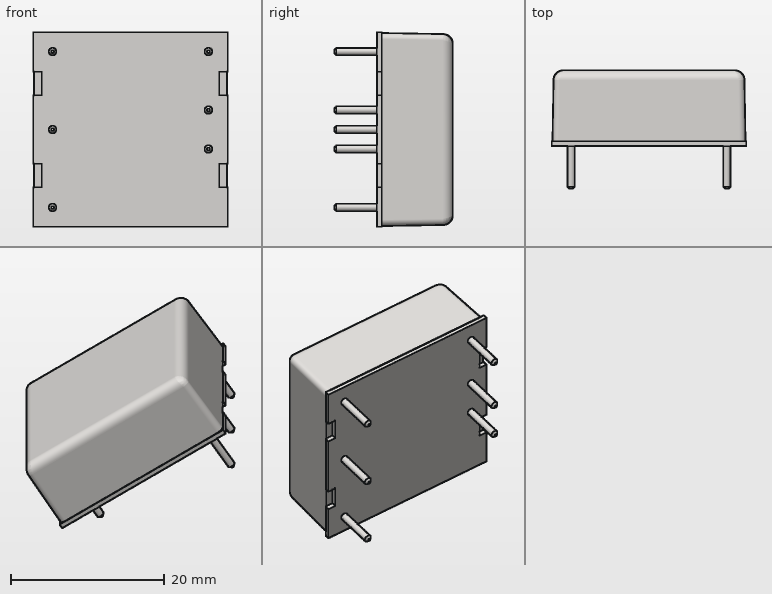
import cadquery as cq

plate_side = 25.4
plate_thickness = 0.64

notch_depth = 1.12
notch_height = 3.1
notch_offset = 6.0

cover_inset = 0.1
cover_draft = 1.0
cover_depth = 9.27
cover_corner_radius = 0.81
cover_edge_radius = 1.32

pitch = 2.55
pin_diameter = 1.0
pin_length = 5.6
pin_tip_chamfer = 0.3
pin_column = 4 * pitch
left_pin_rows = [4 * pitch, 0, -4 * pitch]
right_pin_rows = [4 * pitch, pitch, -pitch]


def make_plate():
    """Square plate from Y = 0 to Y = plate_thickness with four edge notches."""
    plate = cq.Workplane("XZ").rect(plate_side, plate_side).extrude(-plate_thickness)
    notch_x = plate_side / 2
    centres = [(x, z) for x in (-notch_x, notch_x) for z in (-notch_offset, notch_offset)]
    notches = (
        cq.Workplane("XZ")
        .pushPoints(centres)
        .rect(2 * notch_depth, notch_height)
        .extrude(-plate_thickness)
    )
    return plate.cut(notches)


def make_cover():
    """Closed cover with drafted sides and rounded corners and rear edges."""
    base_side = plate_side - 2 * cover_inset
    cover = (
        cq.Workplane("XZ", origin=(0, plate_thickness, 0))
        .rect(base_side, base_side)
        .extrude(-cover_depth, taper=cover_draft)
    )
    cover = cover.edges("not #Y").fillet(cover_corner_radius)
    return cover.faces(">Y").edges().fillet(cover_edge_radius)


def make_pin(x, z):
    """Round pin pointing towards -Y with a chamfered tip."""
    return (
        cq.Workplane("XZ", origin=(x, 0, z))
        .circle(pin_diameter / 2)
        .extrude(pin_length)
        .faces("<Y")
        .chamfer(pin_tip_chamfer)
    )


result = make_plate().union(make_cover())
for column_x, rows in ((-pin_column, left_pin_rows), (pin_column, right_pin_rows)):
    for row_z in rows:
        result = result.union(make_pin(column_x, row_z))